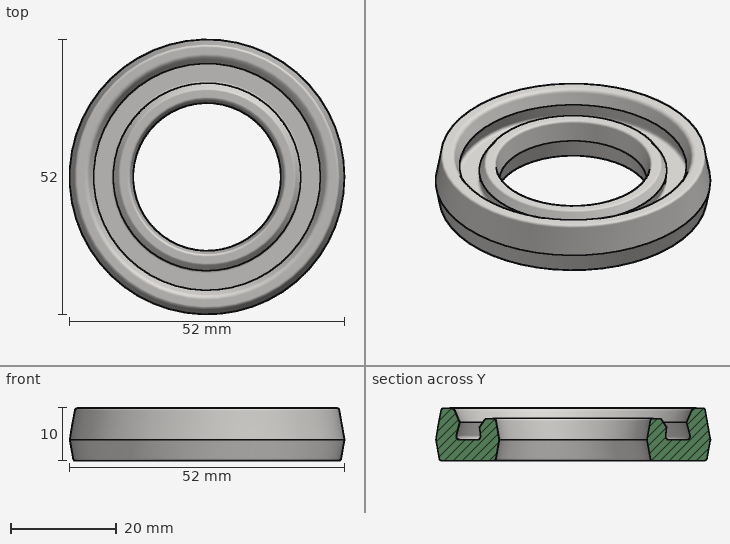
import cadquery as cq
import math

outer_radius = 26.0
height = 10.0
hub_height = 8.0
web_thickness = 4.0
throat_radius = 13.95
draft = math.tan(math.radians(10))

rim_mouth_radius = 22.55
rim_crest_radius = 21.4
rim_crest_height = 7.3
rim_root_radius = 22.25
hub_shoulder_radius = 16.65
hub_crest_radius = 17.75
hub_crest_height = 6.35
hub_root_radius = 17.45

edge_round = 0.5
mouth_round = 1.0
root_round = 0.6
sharp = 0.0

bottom_draft = web_thickness * draft
corners = [
    (throat_radius + bottom_draft, 0, edge_round),
    (outer_radius - bottom_draft, 0, edge_round),
    (outer_radius, web_thickness, sharp),
    (outer_radius - (height - web_thickness) * draft, height, edge_round),
    (rim_mouth_radius, height, mouth_round),
    (rim_crest_radius, rim_crest_height, sharp),
    (rim_root_radius, web_thickness, root_round),
    (hub_root_radius, web_thickness, root_round),
    (hub_crest_radius, hub_crest_height, sharp),
    (hub_shoulder_radius, hub_height, edge_round),
    (throat_radius + (hub_height - web_thickness) * draft, hub_height, edge_round),
    (throat_radius, web_thickness, sharp),
]


def corner_arc(before, corner, after):
    """Return the start, middle and end of the tangent arc that rounds a corner."""
    point = cq.Vector(corner[0], corner[1])
    to_before = (cq.Vector(before[0], before[1]) - point).normalized()
    to_after = (cq.Vector(after[0], after[1]) - point).normalized()
    half_angle = to_before.getAngle(to_after) / 2
    radius = corner[2]
    setback = radius / math.tan(half_angle)
    bisector = (to_before + to_after).normalized()
    middle = point + bisector * (radius / math.sin(half_angle) - radius)
    return point + to_before * setback, middle, point + to_after * setback


def rounded_profile(corners):
    """Draw a closed outline on XZ, starting at a sharp last corner."""
    profile = cq.Workplane("XZ").moveTo(*corners[-1][:2])
    for i, corner in enumerate(corners[:-1]):
        if corner[2] == sharp:
            profile = profile.lineTo(*corner[:2])
        else:
            start, middle, end = corner_arc(corners[i - 1], corner, corners[i + 1])
            profile = profile.lineTo(start.x, start.y)
            profile = profile.threePointArc((middle.x, middle.y), (end.x, end.y))
    return profile.close()


result = rounded_profile(corners).revolve(360, (0, 0), (0, 1))